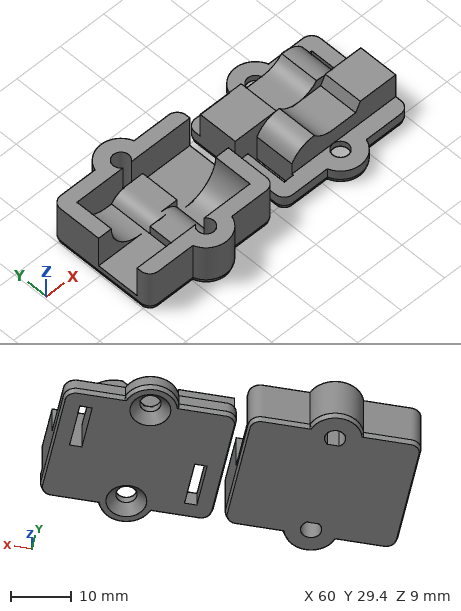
import cadquery as cq
import math

overall_length = 59.95
overall_depth = 29.45
half_length = 28.95
plate_depth = 22.95
corner_radius = 2.05
housing_height = 9.0
lid_plate_thickness = 3.0
chamfer_height = 0.9
chamfer_inset = 0.3

housing_x = (half_length - overall_length) / 2
lid_x = -housing_x

screw_spacing = 19.95
screw_hole_radius = 1.75
countersink_radius = 3.35
countersink_depth = 1.7
ear_radius = (overall_depth - screw_spacing) / 2

wall = 2.95
floor = 2.05
lane_overlap = 0.95
cavity_x = half_length / 2 - wall
cavity_y = plate_depth / 2 - wall
outside_x = half_length / 2 + wall

path_gap = 1.45
bend_radius = housing_height - floor
bend_x = cavity_x - bend_radius
bump_top = 3.9
bump_edge_x = 3.6
bump_rise = bump_top - floor
bump_radius = (bump_edge_x**2 + bump_rise**2) / (2 * bump_rise)
saddle_radius = 5.5

block_y = 8.2
hump_radius = bend_radius - path_gap
hump_end_x = 9.5
block_top = lid_plate_thickness + hump_radius
saddle_center_z = housing_height + lid_plate_thickness
saddle_floor = saddle_center_z - saddle_radius
saddle_edge_x = math.sqrt(saddle_radius**2 - (saddle_center_z - block_top)**2)
front_ramp_foot_x = 5.2
front_ramp_top_x = 6.3
rear_step_x = 5.05


def plan_outline(workplane):
    """Rounded plate with one screw ear on each long side, as a sketch on the workplane."""
    outline = (
        cq.Sketch()
        .rect(half_length, plate_depth)
        .vertices()
        .fillet(corner_radius)
        .reset()
        .push([(0, -screw_spacing / 2), (0, screw_spacing / 2)])
        .circle(ear_radius)
        .reset()
        .clean()
    )
    return workplane.placeSketch(outline)


def base_block(height):
    """Plate with ears; its foot narrows towards the bottom."""
    upper = plan_outline(cq.Workplane("XY", origin=(0, 0, chamfer_height))).extrude(height - chamfer_height)
    taper = math.degrees(math.atan2(chamfer_inset, chamfer_height))
    foot = plan_outline(cq.Workplane("XY", origin=(0, 0, chamfer_height))).extrude(-chamfer_height, taper=taper)
    return upper.union(foot)


def at_screws():
    return cq.Workplane("XY").pushPoints([(0, -screw_spacing / 2), (0, screw_spacing / 2)])


def screw_holes():
    return at_screws().circle(screw_hole_radius).extrude(housing_height)


def countersinks():
    """Cones that widen the lid's screw holes at its underside."""
    cone = cq.Solid.makeCone(countersink_radius, screw_hole_radius, countersink_depth)
    return at_screws().eachpoint(lambda place: cone.moved(place), combine="a")


def profile_plane(y_max):
    """XZ plane at y_max; extruding goes towards -Y."""
    return cq.Workplane("XZ", origin=(0, y_max, 0))


def half_turn(body):
    return body.rotate((0, 0, 0), (0, 0, 1), 180)


def lane():
    """Front lane: open at -X, stepped over a rounded bump, closed by a concave bend."""
    diagonal = math.sqrt(0.5)
    y_max = lane_overlap / 2
    return (
        profile_plane(y_max)
        .moveTo(-outside_x, housing_height)
        .lineTo(-outside_x, floor)
        .lineTo(-bump_edge_x, floor)
        .lineTo(-bump_edge_x, bump_top)
        .lineTo(0, bump_top)
        .radiusArc((bump_edge_x, floor), bump_radius)
        .lineTo(bend_x, floor)
        .threePointArc(
            (bend_x + bend_radius * diagonal, housing_height - bend_radius * diagonal),
            (cavity_x, housing_height),
        )
        .close()
        .extrude(y_max + cavity_y)
    )


def cavity_core():
    """Full-height block between the long walls, where no screw hole cuts the bumps or floor."""
    core_size = (half_length, 2 * cavity_y, housing_height)
    return cq.Workplane("XY").box(*core_size, centered=(True, True, False))


def make_housing():
    front_lane = lane()
    holes = screw_holes().cut(cavity_core())
    body = base_block(housing_height).cut(front_lane).cut(half_turn(front_lane)).cut(holes)
    return body.translate((housing_x, 0, 0))


def lid_block(step_foot_x, step_top_x):
    """Front block with a rounded hump, a saddle and a step up to its +X end.

    Below the top of the plate the profile runs inside the plate and merges with it.
    """
    hump_center_x = -bend_x
    hump_shoulder_z = lid_plate_thickness + math.sqrt(hump_radius**2 - (hump_end_x - bend_x)**2)
    return (
        profile_plane(0)
        .moveTo(-hump_end_x, 0)
        .lineTo(-hump_end_x, hump_shoulder_z)
        .radiusArc((hump_center_x, block_top), hump_radius)
        .lineTo(-saddle_edge_x, block_top)
        .radiusArc((0, saddle_floor), -saddle_radius)
        .lineTo(step_foot_x, saddle_floor)
        .lineTo(step_top_x, block_top)
        .lineTo(half_length / 2, block_top)
        .lineTo(half_length / 2, lid_plate_thickness)
        .lineTo(cavity_x, 0)
        .close()
        .extrude(block_y)
    )


def lid_window():
    """Opening through the plate beside the front hump."""
    window_size = (cavity_x - hump_end_x, cavity_y, lid_plate_thickness)
    return (
        cq.Workplane("XY", origin=(-cavity_x, -cavity_y, 0))
        .box(*window_size, centered=False)
    )


def make_lid():
    window = lid_window()
    front_block = lid_block(front_ramp_foot_x, front_ramp_top_x)
    rear_block = half_turn(lid_block(rear_step_x, rear_step_x))
    body = base_block(lid_plate_thickness).cut(window).cut(half_turn(window))
    body = body.union(front_block).union(rear_block)
    body = body.cut(screw_holes()).cut(countersinks())
    return body.translate((lid_x, 0, 0))


housing = make_housing()
lid = make_lid()
result = cq.Compound.makeCompound([housing.val(), lid.val()])